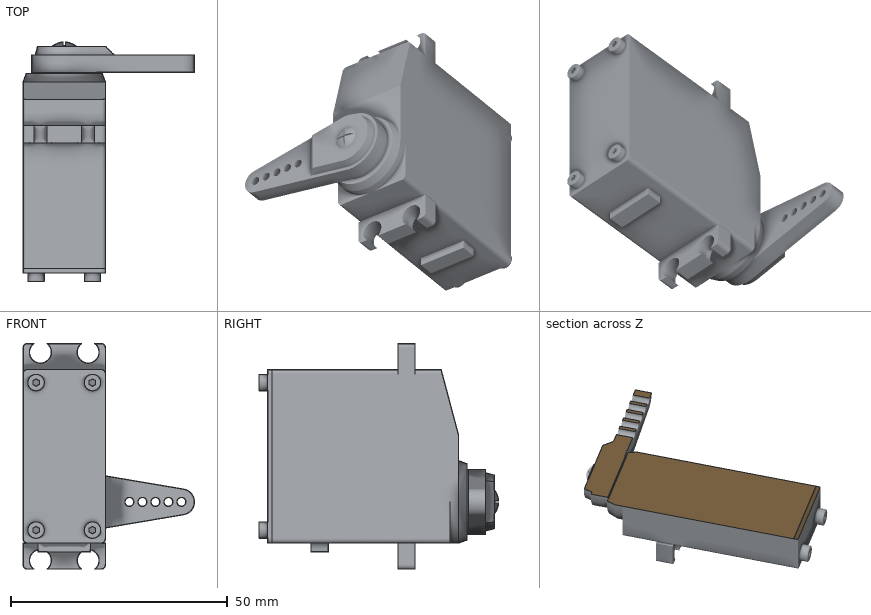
import math

import cadquery as cq


case_width = 19.0
case_height = 40.0
case_end = 44.0
corner_radius = 1.0
cover_thickness = 1.0
slope_depth = 4.0
slope_height = 15.0
round_end_depth = 2.0
shaft_z = case_width / 2

ear_start = 30.0
ear_thickness = 4.0
ear_length = 6.0
ear_slot_diameter = 5.0
ear_slot_offset = 5.5
ear_slot_from_end = 2.0

outlet_width = 12.0
outlet_height = 2.0
outlet_start = 10.0
outlet_depth = 4.0

boss_height = 2.0
boss_taper = 20.0
boss_end = case_end + boss_height

disc_thickness = 0.25
disc_end = boss_end + disc_thickness

hub_radius = 7.5
tip_radius = 3.0
tip_distance = 27.0
arm_thickness = 4.0
raised_inset = 0.8
raised_height = 2.0
raised_taper = 15.0
raised_length = 9.5
horn_hole_diameter = 2.0
horn_hole_pitch = 3.0
horn_hole_count = 5
arm_end = disc_end + arm_thickness
horn_end = arm_end + raised_height

dome_radius = 2.75
dome_height = 1.0
cross_slot_width = 0.5
cross_slot_depth = 0.8

cap_diameter = 3.8
cap_height = 2.0
cap_fillet = 0.2
socket_across_flats = 1.5
socket_depth = 1.0
cap_spacing_x = 13.0
cap_spacing_z = 34.0


def plane_at(y, z=0.0):
    """Work plane at depth y facing +Y; its local x is -X and its local y is Z."""
    return cq.Workplane(cq.Plane(origin=(0, y, z), xDir=(-1, 0, 0), normal=(0, 1, 0)))


def block(y_start, y_end, z_start, z_end, width=case_width):
    size = (width, y_end - y_start, z_end - z_start)
    return cq.Workplane().box(*size, centered=(True, False, False)).translate((0, y_start, z_start))


def make_cover():
    return block(0, cover_thickness, 0, case_height).edges("|Y").fillet(corner_radius)


def make_ears():
    plate_end = ear_start + ear_thickness
    ears = block(ear_start, plate_end, -ear_length, case_height + ear_length)
    ears = ears.edges("|Y").fillet(corner_radius)
    ears = ears.cut(block(ear_start, plate_end, 0, case_height - corner_radius))
    slot_z_values = (ear_slot_from_end - ear_length, case_height + ear_length - ear_slot_from_end)
    slot_centers = [(x, z) for x in (-ear_slot_offset, ear_slot_offset) for z in slot_z_values]
    slots = plane_at(ear_start).pushPoints(slot_centers).circle(ear_slot_diameter / 2).extrude(ear_thickness)
    return ears.cut(slots)


def make_case():
    case = block(cover_thickness, case_end, 0, case_height).edges("|Y").fillet(corner_radius)

    round_start = case_end - round_end_depth
    lower_end = block(round_start, case_end, 0, shaft_z)
    round_end = plane_at(round_start, shaft_z).circle(case_width / 2).extrude(round_end_depth)
    case = case.cut(lower_end.cut(round_end))

    slope = (
        cq.Workplane("YZ")
        .moveTo(case_end, case_height - slope_height)
        .lineTo(case_end, case_height)
        .lineTo(case_end - slope_depth, case_height)
        .close()
        .extrude(case_width / 2, both=True)
    )
    case = case.cut(slope)

    boss = plane_at(case_end, shaft_z).circle(case_width / 2).extrude(boss_height, taper=boss_taper)
    outlet = block(outlet_start, outlet_start + outlet_depth, -outlet_height, 0, outlet_width)
    return case.union(make_ears()).union(boss).union(outlet)


def make_output_disc():
    return plane_at(boss_end, shaft_z).circle(hub_radius).extrude(disc_thickness)


def arm_outline(plane, root_radius, end_radius):
    """Root and tip circles joined by their common tangents; the arm points to +X."""
    sine = (root_radius - end_radius) / tip_distance
    cosine = math.sqrt(1 - sine**2)
    root_x = -root_radius * sine
    root_y = root_radius * cosine
    end_x = -tip_distance - end_radius * sine
    end_y = end_radius * cosine
    return (
        plane.moveTo(root_x, root_y)
        .threePointArc((root_radius, 0), (root_x, -root_y))
        .lineTo(end_x, -end_y)
        .threePointArc((-tip_distance - end_radius, 0), (end_x, end_y))
        .close()
    )


def make_horn():
    arm = arm_outline(plane_at(disc_end, shaft_z), hub_radius, tip_radius).extrude(arm_thickness)

    raised_outline = arm_outline(
        plane_at(arm_end, shaft_z), hub_radius - raised_inset, tip_radius - raised_inset
    )
    raised = raised_outline.extrude(raised_height, taper=raised_taper)
    raised_limit = (
        cq.Workplane("XY")
        .moveTo(-hub_radius, arm_end)
        .lineTo(raised_length + raised_height, arm_end)
        .lineTo(raised_length, horn_end)
        .lineTo(-hub_radius, horn_end)
        .close()
        .extrude(case_width)
    )
    horn = arm.union(raised.intersect(raised_limit))

    hole_centers = [(-tip_distance + i * horn_hole_pitch, 0) for i in range(horn_hole_count)]
    hole_plane = plane_at(disc_end, shaft_z).pushPoints(hole_centers)
    holes = hole_plane.circle(horn_hole_diameter / 2).extrude(arm_thickness + raised_height)
    return horn.cut(holes)


def make_horn_screw():
    sphere_radius = (dome_radius**2 + dome_height**2) / (2 * dome_height)
    sphere_y = horn_end + dome_height - sphere_radius
    sphere = cq.Workplane().sphere(sphere_radius).translate((0, sphere_y, shaft_z))
    dome = sphere.intersect(plane_at(horn_end, shaft_z).circle(dome_radius).extrude(dome_height))

    slot_plane = plane_at(horn_end + dome_height - cross_slot_depth, shaft_z)
    for length_x, length_z in ((2 * dome_radius, cross_slot_width), (cross_slot_width, 2 * dome_radius)):
        dome = dome.cut(slot_plane.rect(length_x, length_z).extrude(cross_slot_depth))
    return dome


def make_cover_screw(x, z):
    head = cq.Workplane("XZ").circle(cap_diameter / 2).extrude(cap_height)
    head = head.faces("|Y").edges().fillet(cap_fillet)
    socket_diameter = socket_across_flats / math.cos(math.pi / 6)
    socket_plane = cq.Workplane("XZ", origin=(0, socket_depth - cap_height, 0))
    socket = socket_plane.polygon(6, socket_diameter).extrude(socket_depth)
    socket = socket.rotate((0, 0, 0), (0, 1, 0), 30)
    return head.cut(socket).translate((x, 0, z))


case = make_case()
cover = make_cover()
output_disc = make_output_disc()
horn = make_horn()
horn_screw = make_horn_screw()
cover_screws = [
    make_cover_screw(x, case_height / 2 + z)
    for x in (-cap_spacing_x / 2, cap_spacing_x / 2)
    for z in (-cap_spacing_z / 2, cap_spacing_z / 2)
]

result = cq.Compound.makeCompound(
    [
        case.val(),
        cover.val(),
        output_disc.val(),
        horn.val(),
        horn_screw.val(),
        *[screw.val() for screw in cover_screws],
    ]
)